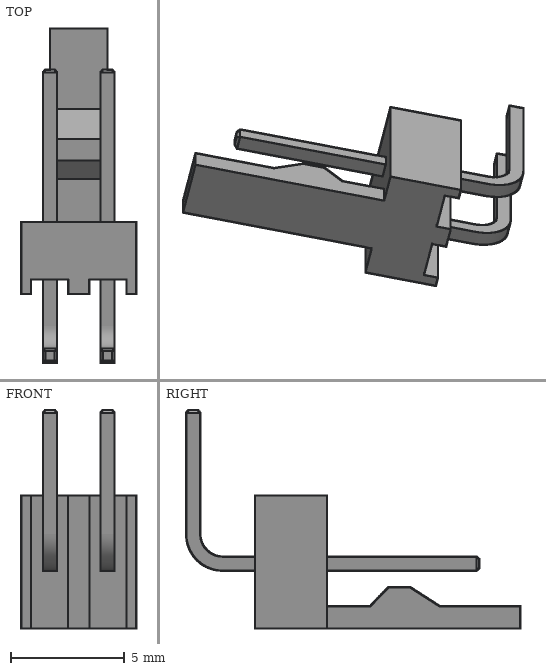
import cadquery as cq

pitch = 2.54
pin_count = 2
housing_width = 5.09
housing_height = 5.87
housing_front = 3.04
housing_back = 6.22
groove_width = 1.64
rib_width = 0.93
groove_depth = 0.63

pin_size = 0.63
pin_axis_height = 2.86
pin_back = 12.93
pin_top = 9.64
bend_inner_radius = 0.99
bend_axis_radius = bend_inner_radius + pin_size / 2
tip_length = 0.13
tip_inset = 0.12

tongue_width = pitch
tongue_thickness = 0.99
tongue_back = 14.74
ramp_top_height = 1.83
ramp_back_foot = 11.19
ramp_back_top = 9.88
ramp_front_top = 8.92
ramp_front_foot = 8.1

pin_positions = [(i - (pin_count - 1) / 2) * pitch for i in range(pin_count)]


def make_housing():
    """Block with two full-height grooves either side of a central rib."""
    depth = housing_back - housing_front
    housing = cq.Workplane("XY").box(housing_width, depth, housing_height, centered=(True, False, False))
    housing = housing.translate((0, housing_front, 0))
    groove_spacing = groove_width + rib_width
    for x in (-groove_spacing / 2, groove_spacing / 2):
        groove = cq.Workplane("XY").box(
            groove_width, groove_depth, housing_height, centered=(True, False, False)
        )
        housing = housing.cut(groove.translate((x, housing_front, 0)))
    return housing


def make_tongue():
    """Flat tongue with a raised locking ramp, as one side profile."""
    return (
        cq.Workplane("YZ")
        .moveTo(housing_back, 0)
        .lineTo(tongue_back, 0)
        .lineTo(tongue_back, tongue_thickness)
        .lineTo(ramp_back_foot, tongue_thickness)
        .lineTo(ramp_back_top, ramp_top_height)
        .lineTo(ramp_front_top, ramp_top_height)
        .lineTo(ramp_front_foot, tongue_thickness)
        .lineTo(housing_back, tongue_thickness)
        .close()
        .extrude(tongue_width / 2, both=True)
    )


def make_pin(x):
    """Right-angle pin swept along its axis, with a tapered tip at each end."""
    upright_y = pin_size / 2
    path = (
        cq.Workplane("YZ")
        .moveTo(pin_back - tip_length, pin_axis_height)
        .lineTo(upright_y + bend_axis_radius, pin_axis_height)
        .radiusArc((upright_y, pin_axis_height + bend_axis_radius), bend_axis_radius)
        .lineTo(upright_y, pin_top - tip_length)
    )
    pin = (
        cq.Workplane("XZ", origin=(0, pin_back - tip_length, pin_axis_height))
        .rect(pin_size, pin_size)
        .sweep(path)
    )
    tip_size = pin_size - 2 * tip_inset
    for face in (">Y", ">Z"):
        tip = (
            pin.faces(face)
            .workplane(centerOption="CenterOfMass")
            .rect(pin_size, pin_size)
            .workplane(offset=tip_length)
            .rect(tip_size, tip_size)
            .loft(combine=False)
        )
        pin = pin.union(tip)
    return pin.translate((x, 0, 0))


result = make_housing().union(make_tongue())
for x in pin_positions:
    result = result.union(make_pin(x))